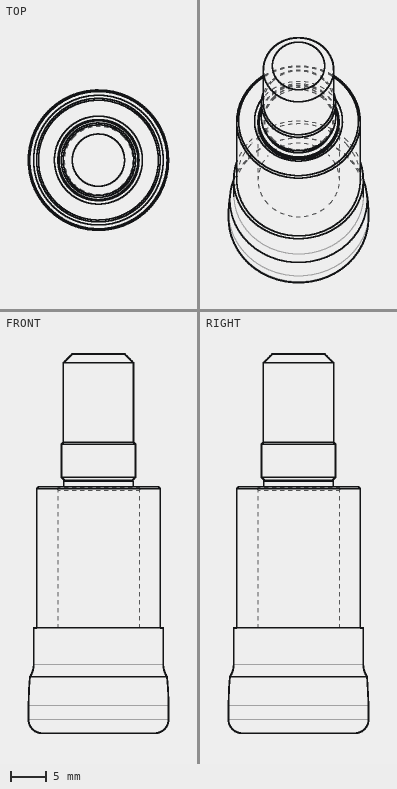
import cadquery as cq
import math

total_height = 54.0

base_radius = 10.0
base_shoulder_radius = 9.8
base_collar_radius = 9.25
base_height = 15.0
base_collar_bottom = 9.85
base_shoulder_z = 8.05
base_band_top = 4.0
base_bottom_round = 2.0
half_way_share = 0.25

barrel_radius = 8.8
barrel_top = 35.1
barrel_chamfer = 0.25

bore_radius = 5.8
bore_mouth_radius = 6.25
bore_chamfer = bore_mouth_radius - bore_radius
bore_floor = base_height

journal_radius = bore_radius
journal_chamfer = 0.15
journal_top = barrel_top

stem_radius = 5.0
stem_chamfer = 1.3
collar_radius = 5.3
collar_bottom = 36.45
collar_top = 41.4
collar_top_chamfer = collar_radius - stem_radius
undercut_radius = 4.85
neck_radius = 4.95
neck_chamfer = neck_radius - undercut_radius
undercut_z = collar_bottom - (collar_radius - undercut_radius)


def revolve_about_z(profile):
    """Turn a closed profile, drawn as (radius, height), about the Z axis."""
    return profile.close().revolve(360, (0, 0, 0), (0, 1, 0))


def make_grip():
    """Revolving grip: rounded base with a flared waist, barrel and blind bore."""
    round_center = (base_radius - base_bottom_round, base_bottom_round)
    round_offset = base_bottom_round * math.sqrt(0.5)
    round_middle = (round_center[0] + round_offset, round_center[1] - round_offset)
    bulge_height = (base_band_top + base_shoulder_z) / 2
    flare_height = (base_shoulder_z + base_collar_bottom) / 2
    bulge_radius = base_radius - (base_radius - base_shoulder_radius) * half_way_share
    flare_radius = base_collar_radius + (base_shoulder_radius - base_collar_radius) * half_way_share
    profile = (
        cq.Workplane("XZ")
        .moveTo(0, 0)
        .lineTo(round_center[0], 0)
        .threePointArc(round_middle, (base_radius, base_bottom_round))
        .lineTo(base_radius, base_band_top)
        .threePointArc((bulge_radius, bulge_height), (base_shoulder_radius, base_shoulder_z))
        .threePointArc((flare_radius, flare_height), (base_collar_radius, base_collar_bottom))
        .lineTo(base_collar_radius, base_height)
        .lineTo(barrel_radius, base_height)
        .lineTo(barrel_radius, barrel_top - barrel_chamfer)
        .lineTo(barrel_radius - barrel_chamfer, barrel_top)
        .lineTo(bore_mouth_radius, barrel_top)
        .lineTo(bore_radius, barrel_top - bore_chamfer)
        .lineTo(bore_radius, bore_floor)
        .lineTo(0, bore_floor)
    )
    return revolve_about_z(profile)


def make_spindle():
    """Journal seated in the grip bore, carrying the collared stem."""
    profile = (
        cq.Workplane("XZ")
        .moveTo(0, bore_floor)
        .lineTo(journal_radius, bore_floor)
        .lineTo(journal_radius, journal_top - journal_chamfer)
        .lineTo(journal_radius - journal_chamfer, journal_top)
        .lineTo(neck_radius, journal_top)
        .lineTo(neck_radius, undercut_z - neck_chamfer)
        .lineTo(undercut_radius, undercut_z)
        .lineTo(collar_radius, collar_bottom)
        .lineTo(collar_radius, collar_top - collar_top_chamfer)
        .lineTo(stem_radius, collar_top)
        .lineTo(stem_radius, total_height - stem_chamfer)
        .lineTo(stem_radius - stem_chamfer, total_height)
        .lineTo(0, total_height)
    )
    return revolve_about_z(profile)


grip = make_grip()
spindle = make_spindle()

result = cq.Compound.makeCompound([grip.val(), spindle.val()])